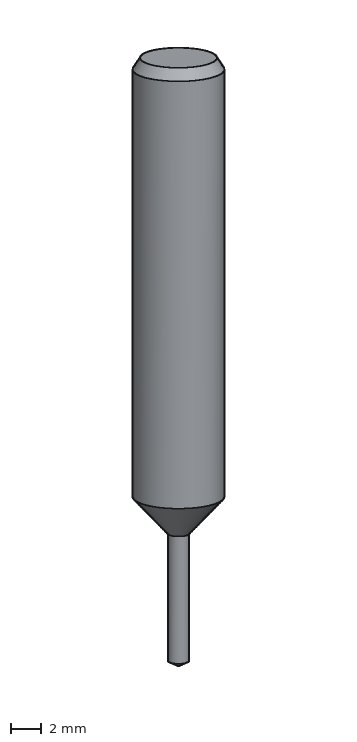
import cadquery as cq

total_length = 41.0
shank_radius = 3.0

pin_radius = 0.7
pin_length = 8.95
point_height = 0.35

neck_height = 2.5
chamfer_width = 0.5
chamfer_height = 0.78


def revolve_profile(points):
    """Revolve a closed (radius, height) outline about the Z axis."""
    return cq.Workplane("XZ").polyline(points).close().revolve(360, (0, 0), (0, 1))


def make_cutting_pin():
    """Slender cylinder with a conical point at its lower end."""
    return revolve_profile([
        (0, 0),
        (pin_radius, point_height),
        (pin_radius, pin_length),
        (0, pin_length),
    ])


def make_shank():
    """Cylindrical shank with a conical neck below and a chamfer on top."""
    return revolve_profile([
        (0, pin_length),
        (pin_radius, pin_length),
        (shank_radius, pin_length + neck_height),
        (shank_radius, total_length - chamfer_height),
        (shank_radius - chamfer_width, total_length),
        (0, total_length),
    ])


cutting_pin = make_cutting_pin()
shank = make_shank()

result = cq.Compound.makeCompound([shank.val(), cutting_pin.val()])